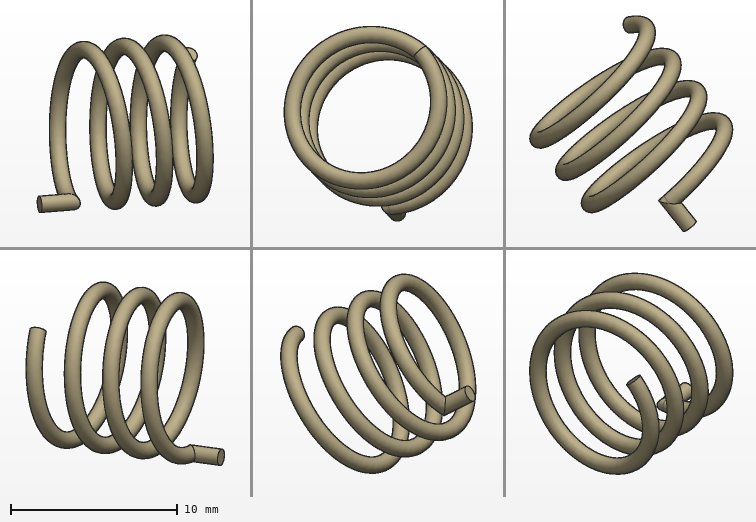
import cadquery as cq
import math

wire_diameter = 1.0
outer_diameter = 10.25
overall_length = 10.99
pitch = 2.54
turns = 3.361

wire_radius = wire_diameter / 2
coil_radius = outer_diameter / 2 - wire_radius
coil_length = turns * pitch
lead_angle = math.atan(pitch / (2 * math.pi * coil_radius))
leg_length = overall_length - coil_length - wire_radius * math.cos(lead_angle)

joint = cq.Vector(0, 0, -coil_radius)
leg_direction = cq.Vector(0, -1, 0)
coil_direction = cq.Vector(-math.cos(lead_angle), math.sin(lead_angle), 0)

mitre_overrun = wire_diameter
mitre_block_size = 2 * mitre_overrun + wire_diameter


def straight_wire(start, direction, length):
    """Straight round wire from a point along a direction."""
    return cq.Workplane(obj=cq.Solid.makeCylinder(wire_radius, length, start, direction))


def make_coil():
    """Right-handed coil about +Y, starting at the joint and turning towards -X."""
    helix = cq.Wire.makeHelix(pitch, coil_length, coil_radius)
    origin = cq.Vector(0, 0, 0)
    helix = helix.rotate(origin, cq.Vector(0, 0, 1), 90)
    helix = helix.rotate(origin, cq.Vector(1, 0, 0), -90)
    section_plane = cq.Plane(joint, xDir=(0, 0, 1), normal=coil_direction)
    section = cq.Workplane(section_plane).circle(wire_radius)
    return section.sweep(cq.Workplane(obj=helix), isFrenet=True)


def mitre_block(normal):
    """Block with one face on the mitre plane, extending from the joint along the normal."""
    mitre_plane = cq.Plane(joint, xDir=(0, 0, 1), normal=normal)
    return cq.Workplane(mitre_plane).rect(mitre_block_size, mitre_block_size).extrude(mitre_block_size)


def make_spring():
    """Coil with a straight leg parallel to its axis, mitred where they meet."""
    to_leg = (leg_direction - coil_direction).normalized()
    coil = make_coil().union(straight_wire(joint, coil_direction * -1, mitre_overrun))
    coil = coil.cut(mitre_block(to_leg))
    inner_end = joint - leg_direction * mitre_overrun
    leg = straight_wire(inner_end, leg_direction, leg_length + mitre_overrun)
    leg = leg.cut(mitre_block(to_leg * -1))
    return coil.union(leg)


result = make_spring()